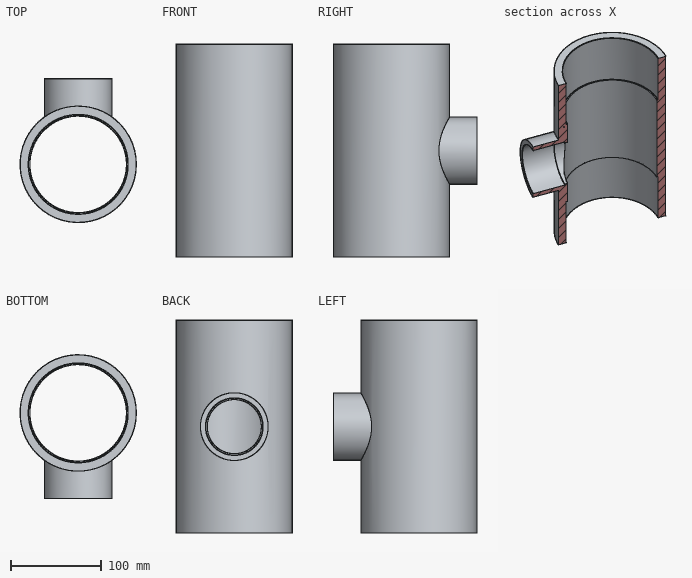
import cadquery as cq

length = 236.0
main_outer_diameter = 129.0
main_bore_diameter = 107.0
main_socket_diameter = 110.0
main_socket_depth = 61.0

overall_depth = 159.5
branch_outer_diameter = 75.0
branch_bore_diameter = 60.0
branch_socket_diameter = 63.0
branch_socket_depth = 38.0
branch_end = overall_depth - main_outer_diameter / 2

mouth_chamfer = 0.5


def main_cylinder(diameter, bottom, height):
    """Cylinder on the main axis, starting at the given Z."""
    return cq.Workplane("XY").workplane(offset=bottom).circle(diameter / 2).extrude(height)


def branch_cylinder(diameter, start):
    """Cylinder on the branch axis, from the given Y to the branch mouth."""
    return (
        cq.Workplane("XZ", origin=(0, start, 0))
        .circle(diameter / 2)
        .extrude(-(branch_end - start))
    )


body = main_cylinder(main_outer_diameter, -length / 2, length)
body = body.union(branch_cylinder(branch_outer_diameter, 0))

body = body.cut(main_cylinder(main_bore_diameter, -length / 2, length))
for socket_bottom in (-length / 2, length / 2 - main_socket_depth):
    body = body.cut(main_cylinder(main_socket_diameter, socket_bottom, main_socket_depth))

body = body.cut(branch_cylinder(branch_bore_diameter, 0))
body = body.cut(branch_cylinder(branch_socket_diameter, branch_end - branch_socket_depth))

for mouth in ("<Z", ">Z", ">Y"):
    rim = body.faces(mouth).edges(cq.selectors.RadiusNthSelector(0))
    body = rim.chamfer(mouth_chamfer)

result = body